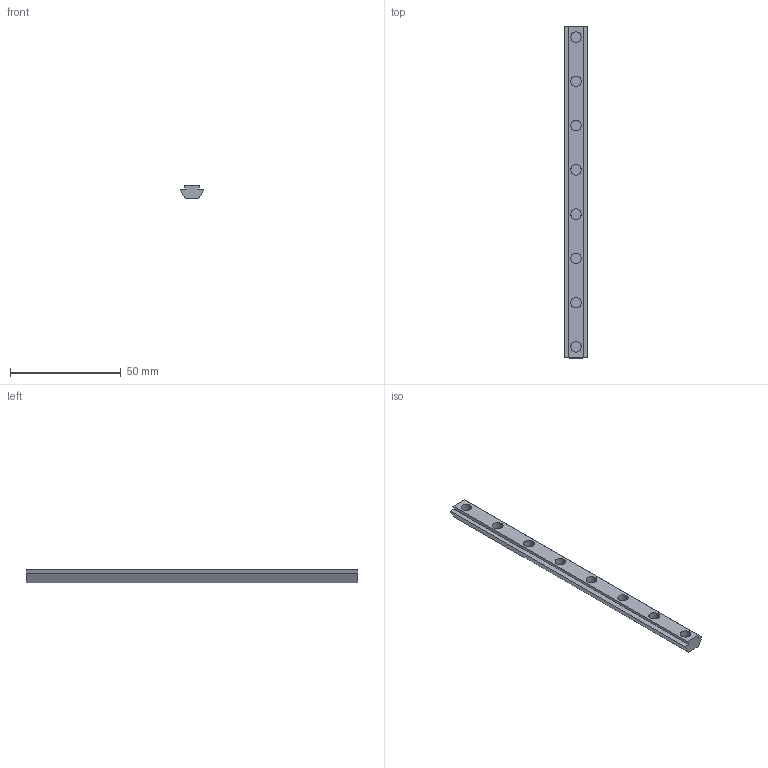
import cadquery as cq

bar_length = 150.0
bar_width = 10.8
bar_height = 6.1

head_width = 7.2
neck_width = 6.2
bottom_width = 6.2
shoulder_depth = 1.8

hole_diameter = 4.8
hole_depth = 5.0
hole_count = 8
hole_pitch = 20.0

shoulder_z = bar_height - shoulder_depth


def make_bar():
    """Extrude the symmetric section: tapered foot, flat shoulders and dovetail head."""
    right_half = [
        (bottom_width / 2, 0),
        (bar_width / 2, shoulder_z),
        (neck_width / 2, shoulder_z),
        (head_width / 2, bar_height),
    ]
    left_half = [(-x, z) for x, z in reversed(right_half)]
    section = cq.Workplane("XZ").polyline(right_half + left_half).close()
    return section.extrude(bar_length / 2, both=True)


def make_holes():
    """Row of flat-bottomed cylinders that reach down from the top face."""
    return (
        cq.Workplane("XY", origin=(0, 0, bar_height))
        .rarray(1, hole_pitch, 1, hole_count)
        .circle(hole_diameter / 2)
        .extrude(-hole_depth)
    )


result = make_bar().cut(make_holes())